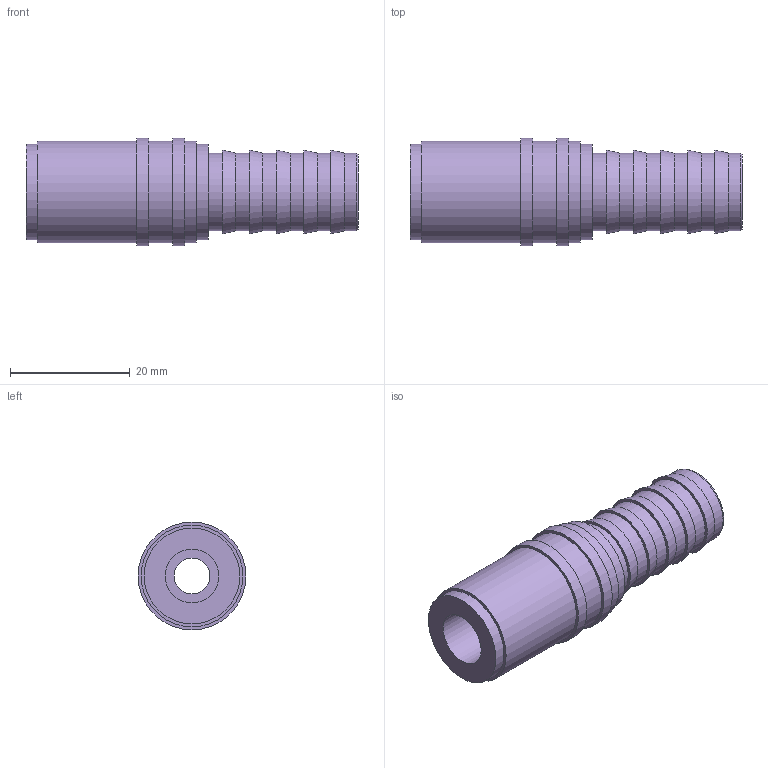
import cadquery as cq

overall_length = 55.5
body_length = 30.5

collar_diameter = 18.0
step_height = 0.5
body_diameter = collar_diameter - 2 * step_height
end_step_diameter = body_diameter - 2 * step_height
nose_length = 1.9
band_length = 2.0
collar_gap = 4.0
second_collar_start = body_length - 3 * band_length
first_collar_start = second_collar_start - collar_gap - band_length

tail_diameter = 13.0
barb_diameter = 14.0
barb_count = 5
tail_length = overall_length - body_length
barb_length = tail_length / (2 * barb_count + 1)
tip_chamfer_length = 0.3
tip_chamfer_height = 0.15

plug_bore_diameter = 9.0
plug_bore_depth = body_length
tail_bore_diameter = 6.0


def cylinder(start, length, diameter):
    """Cylinder about the X axis, beginning at X = start."""
    return cq.Workplane("YZ").workplane(offset=start).circle(diameter / 2).extrude(length)


def revolve_about_x(points):
    """Solid of revolution from an outline of (X, radius) points."""
    return cq.Workplane("XY").polyline(points).close().revolve(360, (0, 0, 0), (1, 0, 0))


def plug_body():
    """Stepped cylinder with two raised collars."""
    main_length = body_length - nose_length - band_length
    body = cylinder(0, body_length, end_step_diameter)
    body = body.union(cylinder(nose_length, main_length, body_diameter))
    for start in (first_collar_start, second_collar_start):
        body = body.union(cylinder(start, band_length, collar_diameter))
    return body


def hose_tail():
    """Cylinder with a chamfered tip and barbs that taper toward that tip."""
    radius = tail_diameter / 2
    outline = [(body_length, 0), (body_length, radius)]
    for index in range(barb_count):
        barb_start = body_length + (2 * index + 1) * barb_length
        outline.append((barb_start, radius))
        outline.append((barb_start, barb_diameter / 2))
        outline.append((barb_start + barb_length, radius))
    outline.append((overall_length - tip_chamfer_length, radius))
    outline.append((overall_length, radius - tip_chamfer_height))
    outline.append((overall_length, 0))
    return revolve_about_x(outline)


def stepped_bore():
    """Wide bore through the plug body, narrow bore on through the hose tail."""
    wide_bore = cylinder(0, plug_bore_depth, plug_bore_diameter)
    narrow_bore = cylinder(0, overall_length, tail_bore_diameter)
    return wide_bore.union(narrow_bore)


result = plug_body().union(hose_tail()).cut(stepped_bore())